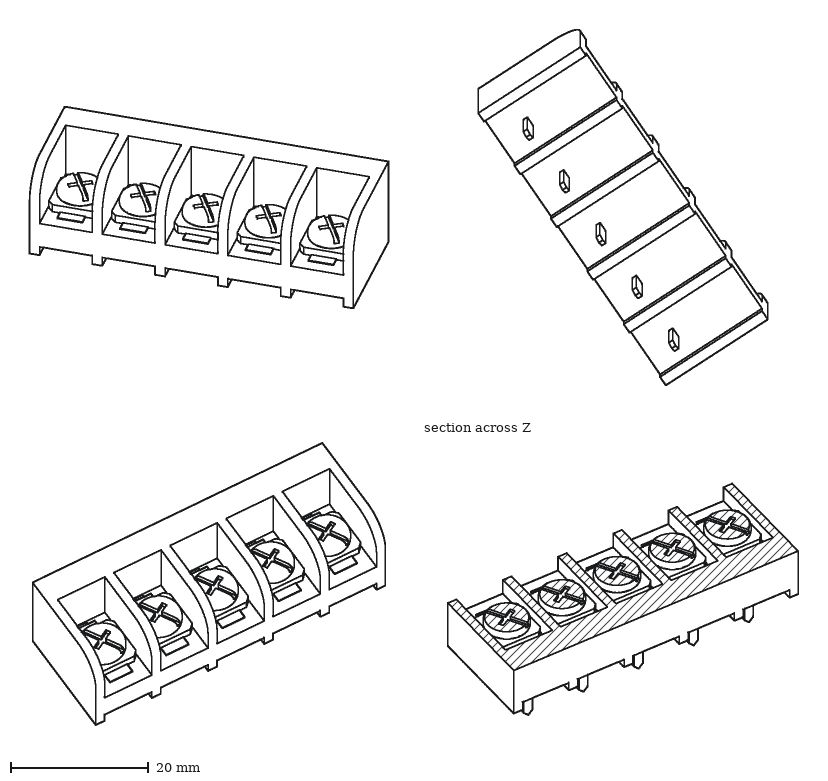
import cadquery as cq

length = 49.0
depth = 17.8
body_height = 14.15
total_height = 20.5

ways = 5
wall = 1.5
pitch = (length - wall) / ways
bay_width = pitch - wall
bay_back = 4.55
bay_depth = 8.58
nose_radius = 5.0
foot_height = 1.45

screw_from_back = 10.5
strip_width = 3.8
strip_length = 10.7
strip_rise = 0.15
pin_width = 1.5
pin_thickness = 0.7
pin_from_back = 4.7
pin_rise = 0.075

plate_size = 7.7
plate_thickness = 1.22
plate_chamfer = 0.8

head_diameter = 6.85
head_height = 1.75
head_crown_radius = 0.9
head_foot_radius = 0.4
slot_width = 0.75
slot_depth = 0.75
cross_length = 3.55
slot_angle = -60.0

floor_z = body_height - bay_depth
plate_top_z = floor_z + plate_thickness
pin_top_z = floor_z + pin_rise
pin_tip_z = body_height - total_height
screw_y = depth - screw_from_back
bay_centers = [wall + bay_width / 2 + i * pitch for i in range(ways)]


def box(width, length_y, height, x, y, z):
    """Box centred on x, y with its underside at z."""
    return cq.Workplane("XY", origin=(x, y, z)).rect(width, length_y).extrude(height)


def make_housing():
    """Block with a rounded front, open-fronted bays and relieved underside."""
    block = cq.Workplane("XY").box(length, depth, body_height, centered=False)
    block = block.edges("|X and <Y and >Z").fillet(nose_radius)
    bay_length = depth - bay_back
    for x in bay_centers:
        block = block.cut(box(bay_width, bay_length, bay_depth, x, bay_length / 2, floor_z))
        block = block.cut(box(bay_width, depth, foot_height, x, depth / 2, 0))
    return block


def make_contact(x):
    """Contact strip overlapping the head of a pin that narrows to a point."""
    strip = box(strip_width, strip_length, strip_rise, x, screw_y, floor_z)
    half_pin = pin_width / 2
    shoulder_z = pin_tip_z + half_pin
    pin = (
        cq.Workplane("XZ", origin=(x, depth - pin_from_back, 0))
        .moveTo(-half_pin, pin_top_z)
        .lineTo(-half_pin, shoulder_z)
        .lineTo(0, pin_tip_z)
        .lineTo(half_pin, shoulder_z)
        .lineTo(half_pin, pin_top_z)
        .close()
        .extrude(pin_thickness)
    )
    return strip.union(pin)


def make_plate(x):
    """Square clamping plate with chamfered corners."""
    plate = box(plate_size, plate_size, plate_thickness, x, screw_y, floor_z)
    return plate.edges("|Z").chamfer(plate_chamfer)


def make_screw_head(x):
    """Pan head with a full-width slot crossed by a short one."""
    head = cq.Workplane("XY").circle(head_diameter / 2).extrude(head_height)
    head = head.faces(">Z").edges().fillet(head_crown_radius)
    head = head.faces("<Z").edges().fillet(head_foot_radius)
    slot_z = head_height - slot_depth
    slot = box(head_diameter, slot_width, slot_depth, 0, 0, slot_z)
    cross = box(slot_width, cross_length, slot_depth, 0, 0, slot_z)
    head = head.cut(slot.union(cross))
    return head.rotate((0, 0, 0), (0, 0, 1), slot_angle).translate((x, screw_y, plate_top_z))


result = make_housing()
for center_x in bay_centers:
    result = result.union(make_contact(center_x))
    result = result.union(make_plate(center_x))
    result = result.union(make_screw_head(center_x))